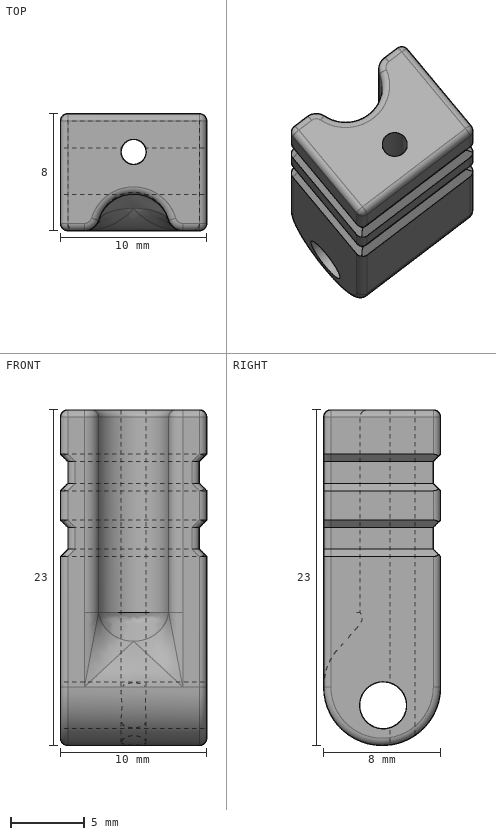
import cadquery as cq
import math

WIDTH = 10.0
DEPTH = 8.0
HEIGHT = 22.95
EDGE_ROUND = 0.5
END_RADIUS = DEPTH / 2
FRONT = -DEPTH / 2
BACK = DEPTH / 2

GROOVE_DEPTH = 0.5
GROOVE_OUTER = 2.5
GROOVE_PITCH = 4.5
GROOVE_COUNT = 2
FIRST_GROOVE_TOP = HEIGHT - 3.03

CHANNEL_RADIUS = 2.5
LIP_RADIUS = 1.0
SCOOP_Z = 9.1
RAMP_FOOT_Z = END_RADIUS

CUT_MARGIN = 1.15

CORD_DIAMETER = 1.7
CORD_Y = BACK - 2.62
PIN_DIAMETER = 3.2
PIN_Y = 0.07
PIN_Z = 2.75

LIP_X = math.sqrt((CHANNEL_RADIUS + LIP_RADIUS) ** 2 - LIP_RADIUS**2)
LIP_SHARE = CHANNEL_RADIUS / (CHANNEL_RADIUS + LIP_RADIUS)
SEAM_X = LIP_X * LIP_SHARE
SEAM_DEPTH = LIP_RADIUS * LIP_SHARE
LIP_MID_X = (SEAM_X + LIP_X) / 2

SCOOP_DROP = SCOOP_Z - RAMP_FOOT_Z
RAMP_RADIUS = (SCOOP_DROP**2 - CHANNEL_RADIUS**2) / (2 * CHANNEL_RADIUS)
RAMP_SHARE = CHANNEL_RADIUS / (CHANNEL_RADIUS + RAMP_RADIUS)
APEX_DEPTH = RAMP_RADIUS * RAMP_SHARE
APEX_Z = SCOOP_Z - SCOOP_DROP * RAMP_SHARE

SCOOP_INNER_SHARE = 0.4
RAMP_INNER_X = LIP_X / 4


def make_body():
    lower = (
        cq.Workplane("YZ", origin=(-WIDTH / 2, 0, END_RADIUS)).circle(END_RADIUS).extrude(WIDTH)
    )
    upper = cq.Workplane("XY", origin=(0, 0, END_RADIUS)).rect(WIDTH, DEPTH).extrude(HEIGHT - END_RADIUS)
    body = lower.union(upper).clean()
    return body.faces("<X or >X").edges("not >Z").fillet(EDGE_ROUND)


def neck_wire(inset, z):
    """Section left inside a groove: round front corners, sharp back corners."""
    side = WIDTH / 2 - inset
    back = BACK - inset
    corner = EDGE_ROUND * (1 - math.sqrt(0.5))
    return (
        cq.Workplane("XY", origin=(0, 0, z))
        .moveTo(-side, back)
        .lineTo(-side, FRONT + EDGE_ROUND)
        .threePointArc((-side + corner, FRONT + corner), (-side + EDGE_ROUND, FRONT))
        .lineTo(side - EDGE_ROUND, FRONT)
        .threePointArc((side - corner, FRONT + corner), (side, FRONT + EDGE_ROUND))
        .lineTo(side, back)
        .close()
        .val()
    )


def make_groove(top):
    bottom = top - GROOVE_OUTER
    sections = [
        neck_wire(0, bottom),
        neck_wire(GROOVE_DEPTH, bottom + GROOVE_DEPTH),
        neck_wire(GROOVE_DEPTH, top - GROOVE_DEPTH),
        neck_wire(0, top),
    ]
    neck = cq.Workplane(cq.Solid.makeLoft(sections, True))
    band = cq.Workplane("XY", origin=(0, 0, bottom)).rect(2 * WIDTH, 2 * DEPTH).extrude(GROOVE_OUTER)
    return band.cut(neck)


def lip_depth(x):
    """Depth of the round lip below the front face at a distance x from the middle."""
    return LIP_RADIUS - math.sqrt(LIP_RADIUS**2 - (LIP_X - x) ** 2)


def make_channel():
    mid_y = FRONT + lip_depth(LIP_MID_X)
    return (
        cq.Workplane("XY", origin=(0, 0, SCOOP_Z))
        .moveTo(-LIP_X, FRONT)
        .threePointArc((-LIP_MID_X, mid_y), (-SEAM_X, FRONT + SEAM_DEPTH))
        .threePointArc((0, FRONT + CHANNEL_RADIUS), (SEAM_X, FRONT + SEAM_DEPTH))
        .threePointArc((LIP_MID_X, mid_y), (LIP_X, FRONT))
        .close()
        .extrude(HEIGHT - SCOOP_Z)
    )


def point(x, depth, z):
    return cq.Vector(x, FRONT + depth, z)


def ramp_depth(z):
    return RAMP_RADIUS - math.sqrt(RAMP_RADIUS**2 - (z - RAMP_FOOT_Z) ** 2)


def scoop_point(angle, x_share):
    """Point on the scoop sphere, angle below the horizontal."""
    x = CHANNEL_RADIUS * x_share
    reach = math.sqrt(CHANNEL_RADIUS**2 - x**2)
    return point(x, reach * math.cos(angle), SCOOP_Z - reach * math.sin(angle))


def along(start, end, count=6):
    return [start + (end - start) * i / count for i in range(count + 1)]


def make_scoop():
    """Closed shell of smooth patches below the straight part of the channel."""
    apex = point(0, APEX_DEPTH, APEX_Z)
    seams = {side: point(side * SEAM_X, SEAM_DEPTH, SCOOP_Z) for side in (-1, 1)}
    feet = {side: point(side * LIP_X, 0, RAMP_FOOT_Z) for side in (-1, 1)}
    lips = {side: point(side * LIP_X, 0, SCOOP_Z) for side in (-1, 1)}

    plane_normal = cq.Vector(0, APEX_Z - SCOOP_Z, SEAM_DEPTH - APEX_DEPTH).normalized()
    sphere_center = point(0, 0, SCOOP_Z)
    circle_center = sphere_center + plane_normal * (apex - sphere_center).dot(plane_normal)
    circle_radius = (apex - circle_center).Length
    half_sweep = (seams[1] - circle_center).getAngle(apex - circle_center) / 2
    down = (apex - circle_center).normalized()

    back_arc = cq.Edge.makeThreePointArc(seams[-1], point(0, CHANNEL_RADIUS, SCOOP_Z), seams[1])
    foot_edge = cq.Edge.makeLine(feet[-1], feet[1])
    top_edge = cq.Edge.makeLine(lips[-1], lips[1])
    scoop_edges = {}
    ramp_edges = {}
    faces = []
    outline_top = [back_arc, top_edge]
    outline_front = [foot_edge, top_edge]

    for side in (-1, 1):
        middle = circle_center + (
            down * math.cos(half_sweep) + cq.Vector(side * math.sin(half_sweep), 0, 0)
        ) * circle_radius
        scoop_edges[side] = cq.Edge.makeThreePointArc(seams[side], middle, apex)
        ramp_edges[side] = cq.Edge.makeSpline(
            [
                point(side * x, ramp_depth(z), z)
                for x, z in zip(along(LIP_X, 0), along(RAMP_FOOT_Z, APEX_Z))
            ]
        )
        seam_edge = cq.Edge.makeSpline(
            [
                point(side * x, lip_depth(x), z)
                for x, z in zip(along(SEAM_X, LIP_X), along(SCOOP_Z, RAMP_FOOT_Z))
            ]
        )
        lip_arc = cq.Edge.makeThreePointArc(
            seams[side], point(side * LIP_MID_X, lip_depth(LIP_MID_X), SCOOP_Z), lips[side]
        )
        lip_line = cq.Edge.makeLine(lips[side], feet[side])
        lip_x = (SEAM_X + 2 * LIP_X) / 3
        lip_inner = point(side * lip_x, lip_depth(lip_x), (SCOOP_Z + RAMP_FOOT_Z) / 2)
        faces.append(cq.Face.makeNSidedSurface([lip_arc, lip_line, seam_edge], [lip_inner]))
        faces.append(cq.Face.makeNSidedSurface([scoop_edges[side], ramp_edges[side], seam_edge], []))
        outline_top.append(lip_arc)
        outline_front.append(lip_line)

    apex_angle = math.atan2(SCOOP_Z - APEX_Z, APEX_DEPTH)
    shares = (-SCOOP_INNER_SHARE, 0, SCOOP_INNER_SHARE)
    scoop_middle = [scoop_point(apex_angle / 2, share) for share in shares]
    faces.append(cq.Face.makeNSidedSurface([back_arc, *scoop_edges.values()], scoop_middle))
    ramp_z = (RAMP_FOOT_Z + APEX_Z) / 2
    ramp_middle = [point(x, ramp_depth(ramp_z), ramp_z) for x in (-RAMP_INNER_X, 0, RAMP_INNER_X)]
    faces.append(cq.Face.makeNSidedSurface([foot_edge, *ramp_edges.values()], ramp_middle))
    faces.append(cq.Face.makeFromWires(cq.Wire.combine(outline_top)[0]))

    outward = cq.Vector(0, -CUT_MARGIN, 0)
    for edge in outline_front:
        faces.append(cq.Face.makeRuledSurface(edge, edge.moved(cq.Location(outward))))
    faces.append(cq.Face.makeFromWires(cq.Wire.combine(outline_front)[0].moved(cq.Location(outward))))
    return cq.Workplane(cq.Solid.makeSolid(cq.Shell.makeShell(faces)))


body = make_body()
body = body.cut(make_channel())
body = body.faces(">Z").edges().fillet(EDGE_ROUND)
body = body.cut(make_scoop())
for index in range(GROOVE_COUNT):
    body = body.cut(make_groove(FIRST_GROOVE_TOP - index * GROOVE_PITCH))

cord_hole = cq.Workplane("XY").center(0, CORD_Y).circle(CORD_DIAMETER / 2).extrude(HEIGHT)
pin_hole = (
    cq.Workplane("YZ", origin=(-WIDTH / 2, PIN_Y, PIN_Z)).circle(PIN_DIAMETER / 2).extrude(WIDTH)
)
result = body.cut(cord_hole).cut(pin_hole).clean()